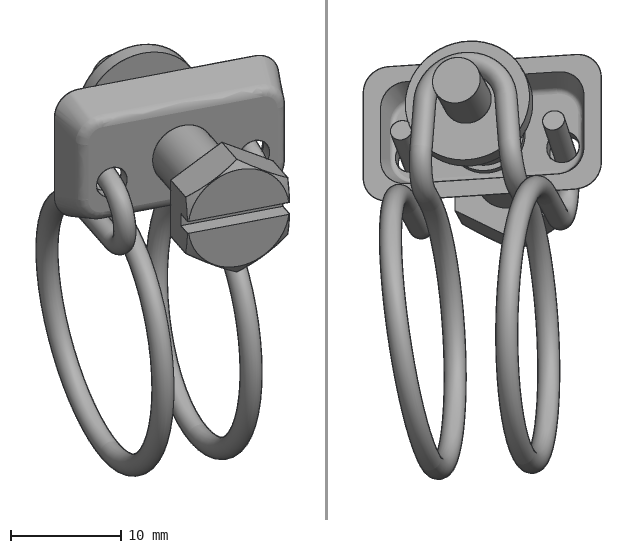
import cadquery as cq
import math


wire_diameter = 2.0
loop_radius = 12.5
inner_strand_y = 4.3
loop_tilt = math.radians(4.8)
leg_tilt = math.radians(4.3)
leg_bend_radius = 3.05
hook_start_x = 5.95
hook_radius = 3.15
hook_end_slope = math.radians(10)
hook_end_length = 6.15

bolt_axis_z = 20.35
tip_diameter = 4.4
tip_end_x = -9.9
collar_diameter = 11.45
collar_start_x = -4.48
collar_thickness = 1.65
shaft_diameter = 5.97
head_start_x = 16.05
head_end_x = 20.15
head_across_flats = 10.0
head_chamfer_diameter = 9.9
head_chamfer_angle = math.radians(30)
slot_height = 1.2
slot_depth = 1.65

plate_start_x = 2.82
plate_depth = 3.95
plate_width = 22.0
plate_height = 13.0
side_draft = math.radians(13.6)
end_draft = math.radians(20)
side_rim = 1.6
end_rim = 1.57
floor_thickness = 1.5
corner_radius = 2.5
back_edge_radius = 1.0
pocket_floor_radius = 0.5
boss_diameter = 7.0
boss_height = 0.7
wire_hole_diameter = 3.0
wire_hole_y = 7.0
wire_hole_drop = 1.45


def bolt_cylinder(diameter, start_x, end_x):
    """Cylinder on the bolt axis between two X positions."""
    return (
        cq.Workplane("YZ", origin=(start_x, 0, bolt_axis_z))
        .circle(diameter / 2)
        .extrude(end_x - start_x)
    )


def leaning_point(x, z, tilt, base_z):
    """Point in a plane that leans by `tilt` about an X line at the inner strand."""
    reach = z - base_z
    return cq.Vector(x, inner_strand_y + reach * math.sin(tilt), base_z + reach * math.cos(tilt))


def leg_point(x, height):
    """Point in the leg plane, `height` along it above the top of the inner strand."""
    return leaning_point(x, loop_radius + height, -leg_tilt, loop_radius)


def hook_point(x, z):
    """Point in the tilted loop plane; z is where it would stand without the tilt."""
    return leaning_point(x, z, loop_tilt, -loop_radius)


def make_clamp_wire():
    """Round wire: hooked end, loop, leg, arch over the bolt tip, then the same mirrored in Y."""
    line = cq.Edge.makeLine
    arc = cq.Edge.makeThreePointArc
    wire_radius = wire_diameter / 2

    arch_x = collar_start_x - wire_radius
    arch_top_z = bolt_axis_z + tip_diameter / 2 + wire_radius
    arch_radius = (
        inner_strand_y * math.cos(leg_tilt) - (arch_top_z - loop_radius) * math.sin(leg_tilt)
    ) / (1 - math.sin(leg_tilt))
    arch_centre_z = arch_top_z - arch_radius

    def arch_point(angle):
        return cq.Vector(
            arch_x, arch_radius * math.cos(angle), arch_centre_z + arch_radius * math.sin(angle)
        )

    bend_inset = leg_bend_radius * (1 - math.sqrt(0.5))

    hook_turn = math.pi - hook_end_slope
    hook_centre_z = loop_radius + hook_radius

    def hook_arc_point(angle):
        return hook_point(
            hook_start_x + hook_radius * math.sin(angle), hook_centre_z - hook_radius * math.cos(angle)
        )

    hook_arc_end = hook_arc_point(hook_turn)
    wire_end = hook_point(
        hook_arc_end.x - hook_end_length * math.cos(hook_end_slope),
        hook_centre_z + hook_radius * math.cos(hook_end_slope) + hook_end_length * math.sin(hook_end_slope),
    )

    arch_top = arch_point(math.pi / 2)
    leg_top = arch_point(leg_tilt)
    leg_bottom = leg_point(arch_x, leg_bend_radius)
    leg_bend_middle = leg_point(arch_x + bend_inset, bend_inset)
    strand_start = leg_point(arch_x + leg_bend_radius, 0)
    loop_top = cq.Vector(0, inner_strand_y, loop_radius)
    loop_side = cq.Vector(loop_radius, inner_strand_y, 0)
    loop_bottom = cq.Vector(0, inner_strand_y, -loop_radius)
    tilted_side = hook_point(-loop_radius, 0)
    tilted_top = hook_point(0, loop_radius)
    hook_start = hook_point(hook_start_x, loop_radius)

    half_path = [
        line(wire_end, hook_arc_end),
        arc(hook_arc_end, hook_arc_point(hook_turn / 2), hook_start),
        line(hook_start, tilted_top),
        arc(tilted_top, tilted_side, loop_bottom),
        arc(loop_bottom, loop_side, loop_top),
        line(loop_top, strand_start),
        arc(strand_start, leg_bend_middle, leg_bottom),
        line(leg_bottom, leg_top),
    ]
    arch = arc(leg_top, arch_top, arch_point(math.pi - leg_tilt))
    mirrored_half = [edge.mirror("XZ") for edge in reversed(half_path)]
    path = cq.Wire.assembleEdges(half_path + [arch] + mirrored_half)

    section_plane = cq.Plane(origin=wire_end, normal=hook_arc_end - wire_end)
    return cq.Workplane(section_plane).circle(wire_radius).sweep(cq.Workplane(path))


def make_head():
    """Hex head with corners at +Z and -Z, a chamfered end and a driver slot along Y."""
    head_length = head_end_x - head_start_x
    across_corners = head_across_flats / math.cos(math.pi / 6)
    head = (
        cq.Workplane("YZ", origin=(head_start_x, 0, bolt_axis_z))
        .transformed(rotate=(0, 0, 90))
        .polygon(6, across_corners)
        .extrude(head_length)
    )

    chamfer_inset = (across_corners - head_chamfer_diameter) / 2
    chamfer_length = chamfer_inset * math.tan(head_chamfer_angle)
    envelope = bolt_cylinder(across_corners, head_start_x, head_end_x).faces(">X").chamfer(
        chamfer_length, chamfer_inset
    )
    slot = cq.Workplane(origin=(head_end_x - slot_depth / 2, 0, bolt_axis_z)).box(
        slot_depth, across_corners, slot_height
    )
    return head.intersect(envelope).cut(slot)


def make_bolt():
    """Stepped bolt: plain tip, collar that pushes on the wire arch, shaft and head."""
    collar_end_x = collar_start_x + collar_thickness
    tip = bolt_cylinder(tip_diameter, tip_end_x, collar_start_x)
    collar = bolt_cylinder(collar_diameter, collar_start_x, collar_end_x)
    shaft = bolt_cylinder(shaft_diameter, collar_end_x, head_start_x)
    return tip.union(collar).union(shaft).union(make_head())


def drafted_block(width, height, depth):
    """Block that narrows toward +X, with rounded corner edges."""
    back_width = width - 2 * depth * math.tan(side_draft)
    back_height = height - 2 * depth * math.tan(end_draft)
    return (
        cq.Workplane("YZ", origin=(plate_start_x, 0, bolt_axis_z))
        .rect(width, height)
        .workplane(offset=depth)
        .rect(back_width, back_height)
        .loft(ruled=True)
        .edges("not(#X)")
        .fillet(corner_radius)
    )


def make_plate():
    """Drafted pan, open toward -X, with a boss and three through holes in its floor."""
    back_x = plate_start_x + plate_depth
    floor_x = back_x - floor_thickness
    body = drafted_block(plate_width, plate_height, plate_depth).faces(">X").edges().fillet(back_edge_radius)
    pocket = (
        drafted_block(plate_width - 2 * side_rim, plate_height - 2 * end_rim, plate_depth - floor_thickness)
        .faces(">X").edges().fillet(pocket_floor_radius)
    )
    boss = bolt_cylinder(boss_diameter, floor_x - boss_height, back_x)
    plate = body.cut(pocket).union(boss)

    wire_holes = (
        cq.Workplane("YZ", origin=(plate_start_x, 0, bolt_axis_z - wire_hole_drop))
        .pushPoints([(-wire_hole_y, 0), (wire_hole_y, 0)])
        .circle(wire_hole_diameter / 2)
        .extrude(plate_depth)
    )
    bolt_hole = bolt_cylinder(shaft_diameter, plate_start_x, back_x)
    return plate.cut(wire_holes).cut(bolt_hole)


clamp_wire = make_clamp_wire()
bolt = make_bolt()
plate = make_plate()

result = cq.Compound.makeCompound([clamp_wire.solids().val(), bolt.solids().val(), plate.solids().val()])